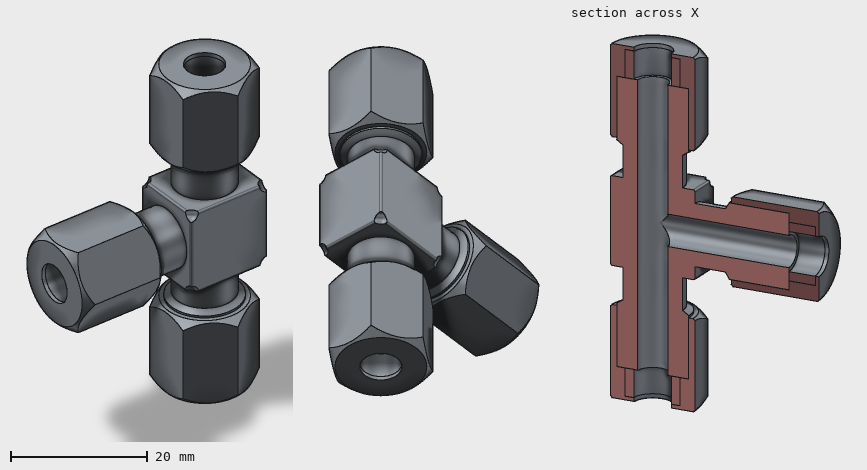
import cadquery as cq
import math

arm_reach = 27.5
across_corners = 16.15
across_flats = across_corners * math.cos(math.pi / 6)

block_width = 12.0
block_side = across_flats
edge_radius = 0.35
corner_notch_radius = 1.4
notch_seam_angle = 30

relief_diameter = 9.9
relief_end = 12.0
thread_diameter = 12.0
thread_start = 12.65
thread_end = 22.55
bore_diameter = 4.95

nut_start = 13.0
nut_face_diameter = 13.4
nut_chamfer_length = 1.3
tube_diameter = 6.15
lip_thickness = 0.65
ferrule_diameter = 9.0

ferrule_end = arm_reach - lip_thickness

BRANCH_ANGLE = 90
ARM_ANGLES = (0, BRANCH_ANGLE, 180)


def cylinder(diameter, start, end):
    """Cylinder on the Z axis between two heights."""
    return cq.Workplane("XY").workplane(offset=start).circle(diameter / 2).extrude(end - start)


def point_along(part, angle):
    """Turn a part that lies along +Z to the direction of an arm."""
    return part.rotate((0, 0, 0), (1, 0, 0), angle)


def make_block():
    """Rounded block with a spherical notch at each corner."""
    block = cq.Workplane("XY").box(block_width, block_side, block_side)
    corners = block.vertices().vals()
    block = block.edges().fillet(edge_radius)
    notch = cq.Workplane("XY").sphere(corner_notch_radius)
    notch = notch.rotate((0, 0, 0), (0, 0, 1), notch_seam_angle)
    for corner in corners:
        block = block.cut(notch.translate(corner.toTuple()))
    return block


def make_arm():
    """Solid stub with a plain neck, a conical lead-in and a thread-sized end."""
    neck_radius = relief_diameter / 2
    thread_radius = thread_diameter / 2
    return (
        cq.Workplane("XZ")
        .polyline([
            (0, 0),
            (neck_radius, 0),
            (neck_radius, relief_end),
            (thread_radius, thread_start),
            (thread_radius, thread_end),
            (0, thread_end),
        ])
        .close()
        .revolve(360, (0, 0, 0), (0, 1, 0))
    )


def make_tee():
    """Block with three arms, bored through from every arm to the centre."""
    tee = make_block()
    for angle in ARM_ANGLES:
        tee = tee.union(point_along(make_arm(), angle))
    run_bore = cylinder(bore_diameter, -thread_end, thread_end)
    branch_bore = point_along(cylinder(bore_diameter, 0, thread_end), BRANCH_ANGLE)
    return tee.cut(run_bore).cut(branch_bore)


def make_nut():
    """Hexagon nut with conical chamfers, a threaded bore, a ferrule seat and a tube hole."""
    face_radius = nut_face_diameter / 2
    corner_radius = across_corners / 2
    hexagon = (
        cq.Workplane("XY").workplane(offset=nut_start)
        .polygon(6, across_corners)
        .extrude(arm_reach - nut_start)
    )
    chamfer_envelope = (
        cq.Workplane("XZ")
        .polyline([
            (0, nut_start),
            (face_radius, nut_start),
            (corner_radius, nut_start + nut_chamfer_length),
            (corner_radius, arm_reach - nut_chamfer_length),
            (face_radius, arm_reach),
            (0, arm_reach),
        ])
        .close()
        .revolve(360, (0, 0, 0), (0, 1, 0))
    )
    return (
        hexagon.intersect(chamfer_envelope)
        .cut(cylinder(thread_diameter, nut_start, thread_end))
        .cut(cylinder(ferrule_diameter, thread_end, ferrule_end))
        .cut(cylinder(tube_diameter, ferrule_end, arm_reach))
    )


def make_ferrule():
    """Ring held between the end of an arm and the lip of its nut."""
    ring = cylinder(ferrule_diameter, thread_end, ferrule_end)
    return ring.cut(cylinder(tube_diameter, thread_end, ferrule_end))


tee = make_tee()
nuts = [point_along(make_nut(), angle) for angle in ARM_ANGLES]
ferrules = [point_along(make_ferrule(), angle) for angle in ARM_ANGLES]

result = cq.Compound.makeCompound([
    tee.solids().val(),
    *[nut.solids().val() for nut in nuts],
    *[ferrule.solids().val() for ferrule in ferrules],
])